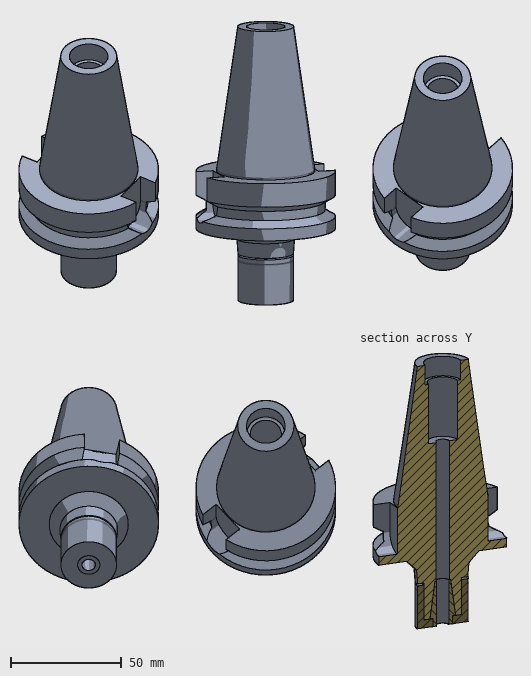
import cadquery as cq
import math

TOTAL_HEIGHT = 125.4

TAPER_RATIO = 7 / 24
GAUGE_HEIGHT = 60.0
GAUGE_RADIUS = 22.2
SHANK_TOP_RADIUS = GAUGE_RADIUS - (TOTAL_HEIGHT - GAUGE_HEIGHT) * TAPER_RATIO / 2

FLANGE_RADIUS = 31.5
FLANGE_TOP = 59.2
FLANGE_BOTTOM = 33.0
GROOVE_RADIUS = 26.8
GROOVE_TOP_EDGE = 48.4
GROOVE_FLOOR_TOP = 45.6
GROOVE_FLOOR_BOTTOM = 41.4
GROOVE_BOTTOM_EDGE = 38.5

KEYWAY_WIDTH = 16.2
KEYWAY_FLOOR_X = 22.5
KEYWAY_BOTTOM = 37.2

NECK_CONE_RADIUS = 17.8
NECK_TOP_RADIUS = 13.0
NECK_TOP = FLANGE_BOTTOM - (NECK_CONE_RADIUS - NECK_TOP_RADIUS)
NECK_BOTTOM_RADIUS = 12.5
NECK_BOTTOM = 21.5
NOSE_RADIUS = 9.4
NOSE_BOTTOM = 3.8

SOCKET_RADIUS = 8.7
SOCKET_DEPTH = 9.3
THREAD_BORE_RADIUS = 7.0
THREAD_BORE_DEPTH = 37.6
THROUGH_HOLE_RADIUS = 3.1

COLLET_ANGLE = 8.0
COLLET_TOP = 21.3
COLLET_TOP_RADIUS = 3.8
COLLET_SHOULDER_RADIUS = (
    COLLET_TOP_RADIUS + (COLLET_TOP - NOSE_BOTTOM) * math.tan(math.radians(COLLET_ANGLE))
)
COLLET_FACE_RADIUS = 5.0
COLLET_BORE_RADIUS = 3.0

NUT_RADIUS = 12.5
NUT_TOP = 20.7
NUT_COLLAR_STEP = 0.06
NUT_COLLAR_RADIUS = NUT_RADIUS + NUT_COLLAR_STEP
NUT_COLLAR_BOTTOM = 18.7
NUT_STEP_HEIGHT = 0.4


def revolve(outline):
    """Solid of revolution about Z from (radius, height) points."""
    return cq.Workplane("YZ").polyline(outline).close().revolve(360, (0, 0), (0, 1))


def cylinder(radius, bottom, top):
    return cq.Workplane("XY").workplane(offset=bottom).circle(radius).extrude(top - bottom)


def collet_envelope():
    """Outside of the collet, also the shape of its seat."""
    return revolve([
        (0, 0),
        (COLLET_FACE_RADIUS, 0),
        (COLLET_FACE_RADIUS, NOSE_BOTTOM),
        (COLLET_SHOULDER_RADIUS, NOSE_BOTTOM),
        (COLLET_TOP_RADIUS, COLLET_TOP),
        (0, COLLET_TOP),
    ])


def keyway(side):
    """Round-bottomed slot cutter, open at the top; side is -1 for -X and +1 for +X."""
    end_radius = KEYWAY_WIDTH / 2
    arc_height = KEYWAY_BOTTOM + end_radius
    return (
        cq.Workplane("YZ", origin=(side * KEYWAY_FLOOR_X, 0, 0))
        .moveTo(-end_radius, FLANGE_TOP)
        .lineTo(-end_radius, arc_height)
        .threePointArc((0, KEYWAY_BOTTOM), (end_radius, arc_height))
        .lineTo(end_radius, FLANGE_TOP)
        .close()
        .extrude(side * FLANGE_RADIUS)
    )


def make_holder():
    body = revolve([
        (0, NOSE_BOTTOM),
        (NOSE_RADIUS, NOSE_BOTTOM),
        (NOSE_RADIUS, NECK_BOTTOM),
        (NECK_BOTTOM_RADIUS, NECK_BOTTOM),
        (NECK_TOP_RADIUS, NECK_TOP),
        (NECK_CONE_RADIUS, FLANGE_BOTTOM),
        (FLANGE_RADIUS, FLANGE_BOTTOM),
        (FLANGE_RADIUS, GROOVE_BOTTOM_EDGE),
        (GROOVE_RADIUS, GROOVE_FLOOR_BOTTOM),
        (GROOVE_RADIUS, GROOVE_FLOOR_TOP),
        (FLANGE_RADIUS, GROOVE_TOP_EDGE),
        (FLANGE_RADIUS, FLANGE_TOP),
        (GAUGE_RADIUS, FLANGE_TOP),
        (GAUGE_RADIUS, GAUGE_HEIGHT),
        (SHANK_TOP_RADIUS, TOTAL_HEIGHT),
        (0, TOTAL_HEIGHT),
    ])
    for side in (-1, 1):
        body = body.cut(keyway(side))
    body = body.cut(cylinder(SOCKET_RADIUS, TOTAL_HEIGHT - SOCKET_DEPTH, TOTAL_HEIGHT))
    body = body.cut(cylinder(THREAD_BORE_RADIUS, TOTAL_HEIGHT - THREAD_BORE_DEPTH, TOTAL_HEIGHT))
    body = body.cut(cylinder(THROUGH_HOLE_RADIUS, NOSE_BOTTOM, TOTAL_HEIGHT))
    return body.cut(collet_envelope())


def make_collet():
    return collet_envelope().cut(cylinder(COLLET_BORE_RADIUS, 0, COLLET_TOP))


def make_nut():
    """Sleeve over the nose, with a lip under it and a slightly wider collar at its top."""
    return revolve([
        (COLLET_FACE_RADIUS, 0),
        (NUT_RADIUS, 0),
        (NUT_RADIUS, NUT_COLLAR_BOTTOM - NUT_STEP_HEIGHT),
        (NUT_COLLAR_RADIUS, NUT_COLLAR_BOTTOM),
        (NUT_COLLAR_RADIUS, NUT_TOP),
        (NOSE_RADIUS, NUT_TOP),
        (NOSE_RADIUS, NOSE_BOTTOM),
        (COLLET_FACE_RADIUS, NOSE_BOTTOM),
    ])


holder = make_holder()
collet = make_collet()
nut = make_nut()
result = cq.Compound.makeCompound([holder.val(), collet.val(), nut.val()])